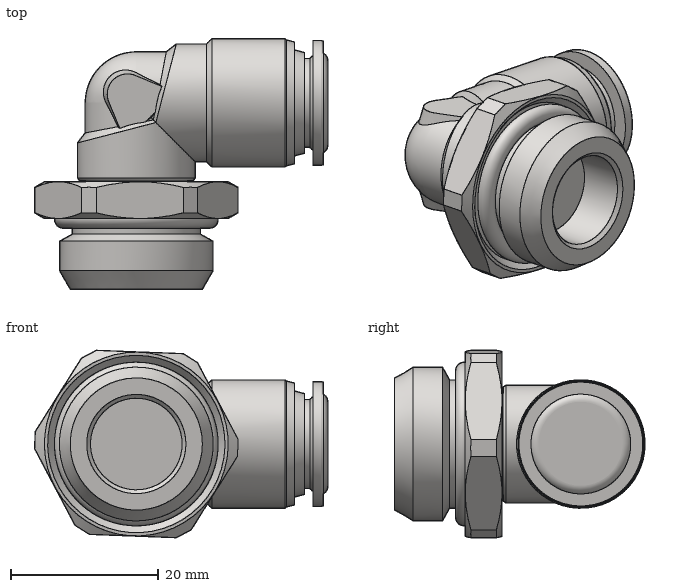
import cadquery as cq
import math


TUBE_RADIUS = 6.97
LEG_RADIUS = 8.0
LEG_RIM_OFFSET = 3.35
LEG_RIM_SLOPE = 0.26
BEVEL_RIM_OFFSET = 2.75
BEVEL_RIM_SLOPE = 0.19
STUD_LEG_END = 10.55
STUD_LEG_CHAMFER = 0.4
STUD_LEG_CHAMFER_DROP = 0.28

PAD_TOP = 7.0
PAD_RADIUS = 2.75
PAD_SHIFT = 1.2
PAD_DEPTH = 3.0
PAD_DRAFT = 16.0
BEND_DIAGONAL = -45.0
PAD_FLARE = 22.5
PAD_REACH = 7.17

PORT_START = 9.52
PORT_RADIUS = 8.72
PORT_CHAMFER = PORT_RADIUS - LEG_RADIUS
PORT_END = 20.2
CAP_STEP = 0.15
CAP_END = 21.47
CAP_END_RADIUS = 8.3
LIP_RADIUS = 7.2
LIP_END = 22.83
LIP_END_RADIUS = 6.85

COLLAR_NECK_RADIUS = 6.05
COLLAR_FLARE_START = 23.55
COLLAR_FLARE_RADIUS = 6.45
FLANGE_START = 23.95
FLANGE_END = 25.38
FLANGE_RADIUS = 8.5
FLANGE_CHAMFER_LENGTH = 0.28
FLANGE_CHAMFER_DROP = 0.08
NOSE_RADIUS = 6.77
NOSE_END_RADIUS = 5.7
NOSE_END = 26.0
NOSE_BULGE = 0.1

HEX_TOP = -10.68
HEX_BOTTOM = -15.7
HEX_APOTHEM = 12.5
HEX_CORNER_APOTHEM = 13.8
HEX_TILT = 2.2
HEX_FACE_RADIUS = 12.45
HEX_CHAMFER_ANGLE = 30.0
SWIVEL_NECK_RADIUS = 6.9

STUD_NECK_RADIUS = 8.72
STUD_NECK_END = -17.8
THREAD_RADIUS = 10.45
THREAD_START = -18.75
THREAD_END = -22.75
STUD_TIP_RADIUS = 8.95
STUD_TIP = -25.3
BORE_RADIUS = 6.2
BORE_CHAMFER = 0.5
BORE_DEPTH = 6.85

RING_TUBE_RADIUS = 1.2
RING_RADIUS = STUD_NECK_RADIUS + RING_TUBE_RADIUS
RING_BOTTOM = -17.0
RING_CENTRE = RING_BOTTOM + RING_TUBE_RADIUS
RECESS_FLOOR = RING_CENTRE + RING_TUBE_RADIUS
RECESS_RADIUS = 12.05
RECESS_FLOOR_RADIUS = RING_RADIUS + RING_TUBE_RADIUS


def stud_turned(points):
    """Revolve (radius, y) points around the stud axis."""
    return cq.Workplane("XY").polyline(points).close().revolve(360, (0, 0), (0, 1))


def port_turned(points):
    """Revolve (x, radius) points around the port axis."""
    return cq.Workplane("XY").polyline(points).close().revolve(360, (0, 0), (1, 0))


def slanted_plane(offset, slope):
    """Plane that crosses the stud axis at y = -offset and rises along X."""
    return cq.Plane(origin=(0, -offset, 0), xDir=(1, slope, 0), normal=(-slope, 1, 0))


def slanted_rim(radius, offset, slope):
    """Wire where a slanted plane cuts a cylinder around the stud axis."""
    plane = slanted_plane(offset, slope)
    return cq.Workplane(plane).ellipse(radius * math.hypot(1, slope), radius).wire().val()


def leg_sleeve(length):
    """Sleeve around the -Y leg, with a slanted, bevelled rim at the bend."""
    barrel = cq.Workplane("XZ", origin=(0, LEG_RADIUS, 0)).circle(LEG_RADIUS).extrude(length + LEG_RADIUS)
    above_rim = (
        cq.Workplane(slanted_plane(LEG_RIM_OFFSET, LEG_RIM_SLOPE))
        .rect(4 * LEG_RADIUS, 4 * LEG_RADIUS)
        .extrude(4 * LEG_RADIUS)
    )
    rim = slanted_rim(LEG_RADIUS, LEG_RIM_OFFSET, LEG_RIM_SLOPE)
    bevel_rim = slanted_rim(TUBE_RADIUS, BEVEL_RIM_OFFSET, BEVEL_RIM_SLOPE)
    bevel = cq.Workplane(cq.Solid.makeLoft([rim, bevel_rim], True))
    return barrel.cut(above_rim).union(bevel)


def bend():
    """Slim tube around the corner, with a sleeve on each leg."""
    ball = cq.Workplane("XY").sphere(TUBE_RADIUS)
    stud_tube = cq.Workplane("XZ").circle(TUBE_RADIUS).extrude(STUD_LEG_END)
    port_tube = cq.Workplane("YZ").circle(TUBE_RADIUS).extrude(PORT_START)
    stud_sleeve = leg_sleeve(STUD_LEG_END).faces("<Y").chamfer(STUD_LEG_CHAMFER, STUD_LEG_CHAMFER_DROP)
    port_sleeve = leg_sleeve(PORT_START).rotate((0, 0, 0), (0, 0, 1), 90).mirror("XZ")
    return ball.union(stud_tube).union(port_tube).union(stud_sleeve).union(port_sleeve)


def from_centre(distance, degrees):
    """Point at a distance and direction from a pad's centre."""
    turn = math.radians(degrees)
    return (distance * math.cos(turn), distance * math.sin(turn))


def pad():
    """Drafted flat-topped pad on the +Z side: a round end whose sides flare towards the legs."""
    foot_radius = PAD_RADIUS + PAD_DEPTH * math.tan(math.radians(PAD_DRAFT))
    upper_side = BEND_DIAGONAL + PAD_FLARE
    lower_side = BEND_DIAGONAL - PAD_FLARE
    upper_tangent = from_centre(foot_radius, upper_side + 90)
    lower_tangent = from_centre(foot_radius, lower_side - 90)
    upper_reach = from_centre(PAD_REACH, upper_side)
    lower_reach = from_centre(PAD_REACH, lower_side)
    return (
        cq.Workplane("XY", origin=(-PAD_SHIFT, PAD_SHIFT, PAD_TOP - PAD_DEPTH))
        .moveTo(*upper_tangent)
        .threePointArc(from_centre(foot_radius, BEND_DIAGONAL + 180), lower_tangent)
        .line(*lower_reach)
        .lineTo(upper_tangent[0] + upper_reach[0], upper_tangent[1] + upper_reach[1])
        .close()
        .extrude(PAD_DEPTH, taper=PAD_DRAFT)
    )


def tube_port():
    """Stepped tube port with its end cap."""
    return port_turned([
        (PORT_START, 0),
        (PORT_START, LEG_RADIUS),
        (PORT_START + PORT_CHAMFER, PORT_RADIUS),
        (PORT_END, PORT_RADIUS),
        (PORT_END + CAP_STEP, PORT_RADIUS - CAP_STEP),
        (CAP_END, CAP_END_RADIUS),
        (CAP_END, LIP_RADIUS),
        (LIP_END, LIP_END_RADIUS),
        (LIP_END, 0),
    ])


def release_collar():
    """Flanged release collar with a rounded nose."""
    nose_middle = (
        (FLANGE_END + NOSE_END) / 2 + NOSE_BULGE,
        (NOSE_RADIUS + NOSE_END_RADIUS) / 2 + NOSE_BULGE,
    )
    return (
        cq.Workplane("XY")
        .moveTo(LIP_END, 0)
        .lineTo(LIP_END, COLLAR_NECK_RADIUS)
        .lineTo(COLLAR_FLARE_START, COLLAR_NECK_RADIUS)
        .lineTo(FLANGE_START, COLLAR_FLARE_RADIUS)
        .lineTo(FLANGE_START, FLANGE_RADIUS)
        .lineTo(FLANGE_END - FLANGE_CHAMFER_LENGTH, FLANGE_RADIUS)
        .lineTo(FLANGE_END, FLANGE_RADIUS - FLANGE_CHAMFER_DROP)
        .lineTo(FLANGE_END, NOSE_RADIUS)
        .threePointArc(nose_middle, (NOSE_END, NOSE_END_RADIUS))
        .lineTo(NOSE_END, 0)
        .close()
        .revolve(360, (0, 0), (1, 0))
    )


def hexagon_prism(apothem):
    """Hexagonal prism with one corner pointing along X."""
    return (
        cq.Workplane("XZ", origin=(0, HEX_TOP, 0))
        .polygon(6, 2 * apothem / math.cos(math.pi / 6))
        .extrude(HEX_TOP - HEX_BOTTOM)
    )


def hexagon():
    """Hexagon with cut-off corners, chamfered faces and the O-ring recess."""
    axis = ((0, 0, 0), (0, 1, 0))
    corner_flats = hexagon_prism(HEX_CORNER_APOTHEM).rotate(*axis, 30)
    corner_radius = HEX_APOTHEM / math.cos(math.pi / 6)
    chamfer_height = (corner_radius - HEX_FACE_RADIUS) * math.tan(math.radians(HEX_CHAMFER_ANGLE))
    chamfer_envelope = stud_turned([
        (0, HEX_TOP),
        (HEX_FACE_RADIUS, HEX_TOP),
        (corner_radius, HEX_TOP - chamfer_height),
        (corner_radius, HEX_BOTTOM + chamfer_height),
        (HEX_FACE_RADIUS, HEX_BOTTOM),
        (0, HEX_BOTTOM),
    ])
    recess = stud_turned([
        (0, HEX_BOTTOM),
        (RECESS_RADIUS, HEX_BOTTOM),
        (RECESS_FLOOR_RADIUS, RECESS_FLOOR),
        (0, RECESS_FLOOR),
    ])
    prism = hexagon_prism(HEX_APOTHEM).intersect(corner_flats).intersect(chamfer_envelope)
    return prism.cut(recess).rotate(*axis, HEX_TILT)


def stud():
    """Swivel neck, grooved neck and threaded end on one axis."""
    return stud_turned([
        (0, -STUD_LEG_END),
        (SWIVEL_NECK_RADIUS, -STUD_LEG_END),
        (SWIVEL_NECK_RADIUS, HEX_TOP),
        (STUD_NECK_RADIUS, HEX_TOP),
        (STUD_NECK_RADIUS, STUD_NECK_END),
        (THREAD_RADIUS, THREAD_START),
        (THREAD_RADIUS, THREAD_END),
        (STUD_TIP_RADIUS, STUD_TIP),
        (0, STUD_TIP),
    ])


def bore():
    """Chamfered blind bore in the stud tip."""
    return stud_turned([
        (0, STUD_TIP),
        (BORE_RADIUS + BORE_CHAMFER, STUD_TIP),
        (BORE_RADIUS, STUD_TIP + BORE_CHAMFER),
        (BORE_RADIUS, STUD_TIP + BORE_DEPTH),
        (0, STUD_TIP + BORE_DEPTH),
    ])


def fitting_body():
    upper_pad = pad()
    elbow = bend().union(upper_pad).union(upper_pad.mirror("XY"))
    elbow = elbow.union(tube_port()).union(release_collar())
    return elbow.union(hexagon().union(stud())).cut(bore())


def sealing_ring():
    """O-ring seated against the stud neck and the recess floor."""
    return (
        cq.Workplane("XY")
        .center(RING_RADIUS, RING_CENTRE)
        .circle(RING_TUBE_RADIUS)
        .revolve(360, (-RING_RADIUS, 0), (-RING_RADIUS, 1))
    )


fitting = fitting_body().solids()
o_ring = sealing_ring()

result = cq.Compound.makeCompound([fitting.val(), o_ring.val()])